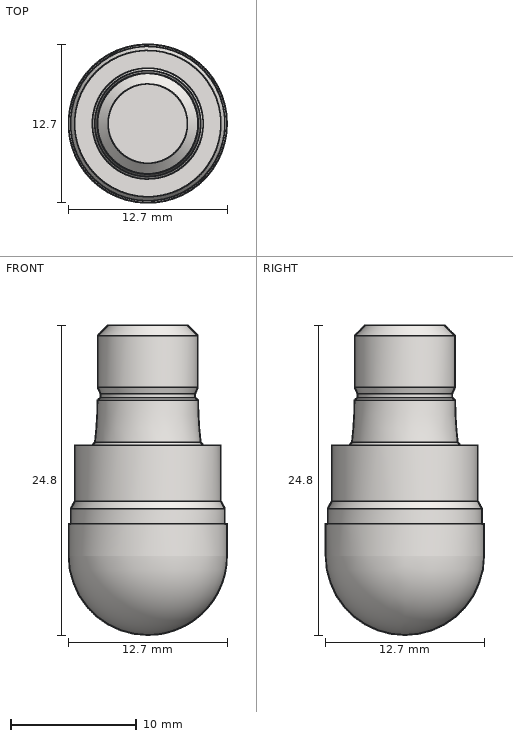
import cadquery as cq
import math

total_height = 24.8
ball_radius = 6.35

band_height = 2.55
button_top = ball_radius + band_height
collar_height = 1.22
collar_top = button_top + collar_height
collar_bevel_height = 0.6
barrel_bottom = collar_top + collar_bevel_height
barrel_top = 15.2
neck_foot_height = 0.22
neck_bottom = barrel_top + neck_foot_height
neck_height = 3.35
neck_top = neck_bottom + neck_height
groove_bottom = neck_top + 0.22
groove_top = groove_bottom + 0.3
stem_bottom = groove_top + 0.52
end_chamfer = 0.85

collar_radius = 6.18
barrel_radius = 5.85
neck_foot_radius = 4.45
neck_bottom_radius = 4.25
neck_top_radius = 4.05
neck_hollow = 0.05
groove_radius = 3.8
stem_radius = 4.02


def revolve_about_z(profile):
    """Turn a closed radius-height profile, drawn on the XZ plane, about the Z axis."""
    return profile.close().revolve(360, (0, 0, 0), (0, 1, 0))


def make_button():
    """Hemispherical button with a short cylindrical band and a flat top."""
    arc_middle = ball_radius * math.sqrt(0.5)
    profile = (
        cq.Workplane("XZ")
        .moveTo(0, 0)
        .threePointArc((arc_middle, ball_radius - arc_middle), (ball_radius, ball_radius))
        .lineTo(ball_radius, button_top)
        .lineTo(0, button_top)
    )
    return revolve_about_z(profile)


def make_shank():
    """Stepped shank seated on the button, with a concave neck and a grooved, chamfered stem."""
    neck_middle_radius = (neck_bottom_radius + neck_top_radius) / 2 - neck_hollow
    neck_middle = neck_bottom + neck_height / 2
    profile = (
        cq.Workplane("XZ")
        .moveTo(0, button_top)
        .lineTo(collar_radius, button_top)
        .lineTo(collar_radius, collar_top)
        .lineTo(barrel_radius, barrel_bottom)
        .lineTo(barrel_radius, barrel_top)
        .lineTo(neck_foot_radius, barrel_top)
        .lineTo(neck_bottom_radius, neck_bottom)
        .threePointArc((neck_middle_radius, neck_middle), (neck_top_radius, neck_top))
        .lineTo(groove_radius, groove_bottom)
        .lineTo(groove_radius, groove_top)
        .lineTo(stem_radius, stem_bottom)
        .lineTo(stem_radius, total_height - end_chamfer)
        .lineTo(stem_radius - end_chamfer, total_height)
        .lineTo(0, total_height)
    )
    return revolve_about_z(profile)


button = make_button()
shank = make_shank()

result = cq.Compound.makeCompound([button.val(), shank.val()])